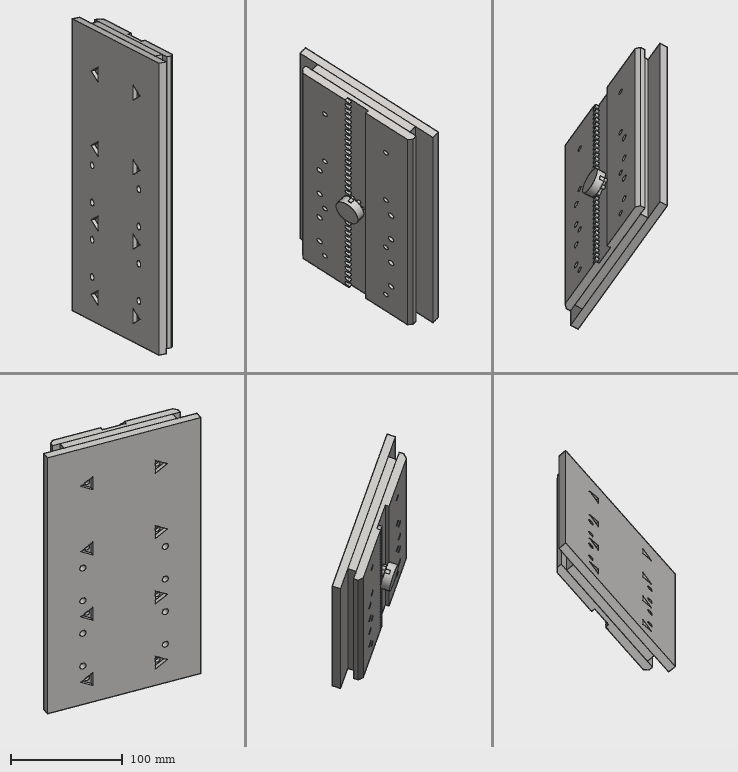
import cadquery as cq
import math

length = 274.5
plate_thickness = 8.0
front_width = 152.0
middle_width = 112.0
back_width = 126.5
back_chamfer = 3.5

front_face_y = 0.0
middle_face_y = front_face_y + plate_thickness
back_face_y = middle_face_y + plate_thickness
rear_y = back_face_y + plate_thickness

screw_hole_diameter = 5.2
screw_x = 34.9
screw_top_z = 97.2
screw_pitch = 70.0
recess_inscribed_diameter = 8.0
recess_depth = 4.0

plain_hole_diameter = 6.0
plain_x = 41.0
plain_top_z = 9.0
plain_pitch = screw_pitch / 2

holes_per_column = 4
sides = (-1, 1)

overall_depth = 33.2
knob_x = 2.2
knob_z = -12.5
knob_diameter = 25.0
knob_clearance = 0.8
knob_face_y = rear_y + knob_clearance
lobe_count = 6
lobe_radius = 2.0
valley_radius = 2.0
pinion_diameter = 19.0
lobe_circle_radius = pinion_diameter / 2 - lobe_radius
notch_count = 3
notch_radius = 2.5
notch_circle_radius = 14.0
notch_depth = 4.7

slot_width = 23.5
slot_depth = 3.5
slot_floor_y = rear_y - slot_depth
dip_radius = 2.33
tip_radius = 1.5
top_dip_z = 138.0
pitches_above_knob = 20
rack_pitch = (top_dip_z - knob_z) / pitches_above_knob


def column_points(x, top_z, pitch):
    """Hole centres in one column on each side, as (side, x, z)."""
    return [(side, side * x, top_z - i * pitch) for side in sides for i in range(holes_per_column)]


screw_points = column_points(screw_x, screw_top_z, screw_pitch)
plain_points = column_points(plain_x, plain_top_z, plain_pitch)


def extrude_back(start_y, depth, draw):
    """Draw on the XZ plane at the given Y and extrude toward +Y."""
    plane = cq.Workplane("XZ", origin=(0, start_y, 0))
    return draw(plane).extrude(-depth)


def drill_holes(plate):
    """Cut all screw holes and plain holes through a plate."""
    for diameter, points in ((screw_hole_diameter, screw_points), (plain_hole_diameter, plain_points)):
        centres = [(x, z) for _, x, z in points]
        holes = extrude_back(front_face_y, rear_y, lambda w: w.pushPoints(centres).circle(diameter / 2))
        plate = plate.cut(holes)
    return plate


def make_plate(width, face_y):
    plate = extrude_back(face_y, plate_thickness, lambda w: w.rect(width, length))
    return drill_holes(plate)


def make_recess(side, x, z):
    """Equilateral triangular recess around a screw hole, pointing outward."""
    inner = recess_inscribed_diameter / 2
    half_side = inner * math.sqrt(3)
    base_x = x - side * inner
    apex_x = x + side * 2 * inner
    corners = [(base_x, z - half_side), (base_x, z + half_side), (apex_x, z)]
    return extrude_back(front_face_y, recess_depth, lambda w: w.polyline(corners).close())


def make_front_plate():
    plate = make_plate(front_width, front_face_y)
    for point in screw_points:
        plate = plate.cut(make_recess(*point))
    return plate


def draw_rack_slot(plane):
    """Slot outline: straight -X side, and tangent dips and tips down the +X side."""
    wall_x = slot_width / 2
    half_pitch = rack_pitch / 2
    dip_centre_x = wall_x - dip_radius
    centre_distance = dip_radius + tip_radius
    tip_centre_x = dip_centre_x - math.sqrt(centre_distance ** 2 - half_pitch ** 2)
    tip_x = tip_centre_x - tip_radius
    share = dip_radius / centre_distance
    joint_x = dip_centre_x + share * (tip_centre_x - dip_centre_x)
    joint_drop = share * half_pitch

    start_z = top_dip_z + half_pitch
    dip_count = math.ceil((start_z + length / 2) / rack_pitch)
    end_z = start_z - dip_count * rack_pitch
    tip_bulge = tip_radius * math.sqrt(0.5)

    outline = plane.moveTo(-wall_x, end_z).lineTo(-wall_x, start_z).lineTo(tip_x, start_z)
    for i in range(dip_count):
        dip_z = top_dip_z - i * rack_pitch
        outline = outline.threePointArc(
            (tip_centre_x - tip_bulge, dip_z + half_pitch - tip_bulge), (joint_x, dip_z + joint_drop))
        outline = outline.threePointArc((wall_x, dip_z), (joint_x, dip_z - joint_drop))
        outline = outline.threePointArc(
            (tip_centre_x - tip_bulge, dip_z - half_pitch + tip_bulge), (tip_x, dip_z - half_pitch))
    return outline.close()


def make_back_plate():
    plate = make_plate(back_width, back_face_y)
    plate = plate.faces(">Y").edges("|Z").chamfer(back_chamfer)
    return plate.cut(extrude_back(slot_floor_y, slot_depth, draw_rack_slot))


def polar(radius, angle):
    """Point around the knob axis, angle in degrees."""
    turn = math.radians(angle)
    return (knob_x + radius * math.cos(turn), knob_z + radius * math.sin(turn))


def draw_star(plane):
    """Pinion outline: round lobes joined by tangent round valleys."""
    half_step = 180 / lobe_count
    half_gap = lobe_circle_radius * math.sin(math.radians(half_step))
    centre_distance = lobe_radius + valley_radius
    valley_circle_radius = (lobe_circle_radius * math.cos(math.radians(half_step))
                            + math.sqrt(centre_distance ** 2 - half_gap ** 2))
    share = lobe_radius / centre_distance

    def joint(lobe_angle, valley_angle):
        """Point where a lobe arc meets the neighbouring valley arc."""
        lobe_x, lobe_z = polar(lobe_circle_radius, lobe_angle)
        valley_x, valley_z = polar(valley_circle_radius, valley_angle)
        return (lobe_x + share * (valley_x - lobe_x), lobe_z + share * (valley_z - lobe_z))

    outline = plane.moveTo(*joint(0, -half_step))
    for i in range(lobe_count):
        lobe_angle = 2 * i * half_step
        valley_angle = lobe_angle + half_step
        lobe_tip = polar(lobe_circle_radius + lobe_radius, lobe_angle)
        valley_bottom = polar(valley_circle_radius - valley_radius, valley_angle)
        outline = outline.threePointArc(lobe_tip, joint(lobe_angle, valley_angle))
        outline = outline.threePointArc(valley_bottom, joint(valley_angle + half_step, valley_angle))
    return outline.close()


def make_knob():
    disc = extrude_back(knob_face_y, overall_depth - knob_face_y,
                        lambda w: w.center(knob_x, knob_z).circle(knob_diameter / 2))
    centres = [polar(notch_circle_radius, 90 + i * 360 / notch_count) for i in range(notch_count)]
    notches = extrude_back(knob_face_y, notch_depth, lambda w: w.pushPoints(centres).circle(notch_radius))
    pinion = extrude_back(slot_floor_y, knob_face_y - slot_floor_y, draw_star)
    return disc.cut(notches).union(pinion)


front_plate = make_front_plate()
middle_plate = make_plate(middle_width, middle_face_y)
back_plate = make_back_plate()
knob = make_knob()

result = cq.Compound.makeCompound([front_plate.val(), middle_plate.val(), back_plate.val(), knob.val()])